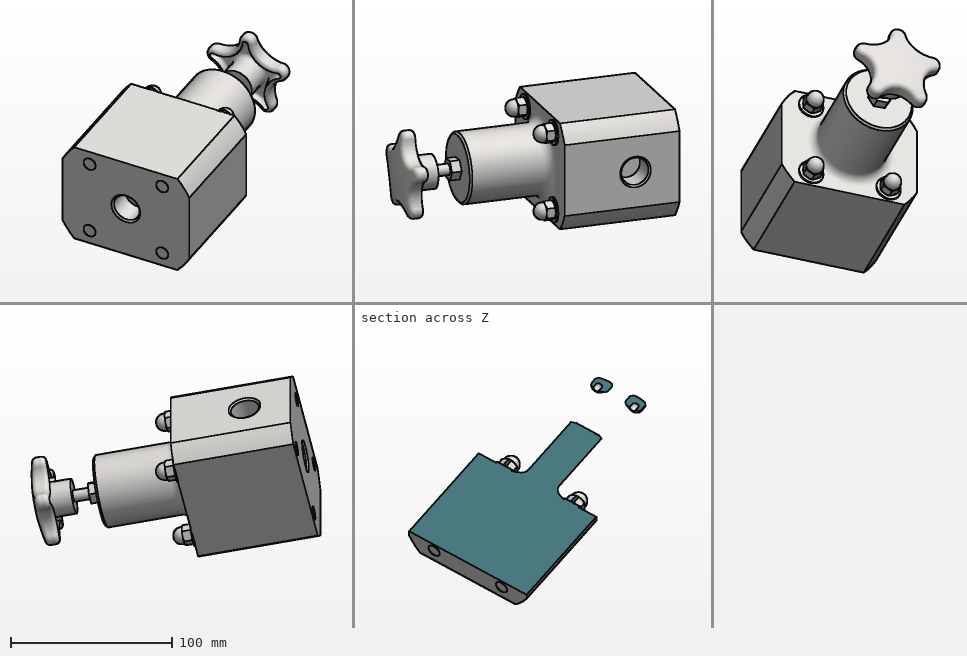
import cadquery as cq
import math


body_width = 89.0
body_height = 69.8
body_length = 76.0
body_corner_diameter = 100.5

port_diameter = 17.8
port_mouth_diameter = 20.2
port_depth = 16.3
side_port_y = 29.1

stud_spacing = 51.0
stud_half_spacing = stud_spacing / 2
stud_diameter = 8.4
stud_recess = 0.2
washer_diameter = 16.0
washer_thickness = 1.0
nut_across_flats = 11.1
nut_height = 5.8
cap_diameter = 11.0
cap_neck = 1.0
nut_chamfer_angle = 30
hex_half_sector = 30

bonnet_diameter = 45.8
bonnet_end_y = 130.3
bonnet_flare_radius = 6.3
bonnet_chamfer = 1.4

spindle_diameter = 7.4
lock_nut_across_flats = 12.5
lock_nut_height = 6.3
lock_nut_turn = 2

wheel_end_y = 171.5
wheel_thickness = 12.3
wheel_rim_y = wheel_end_y - wheel_thickness
arm_count = 5
arm_pitch = 360 / arm_count
first_arm_angle = 90
arm_circle_radius = 23.8
arm_tip_radius = 5.0
valley_radius = 18.0
crown_radius = 106.3
pocket_tip_diameter = 4.0
pocket_depth = 5.0
pocket_fillet = 1.9
rim_width = arm_tip_radius - pocket_tip_diameter / 2
hub_diameter = 22.1
hub_length = 12.2
hub_end_y = wheel_rim_y - hub_length


def across_corners(across_flats):
    return across_flats / math.cos(math.radians(hex_half_sector))


def plane_at(y):
    """XZ plane at the given Y, extruding toward +Y; its local axes are X and -Z."""
    return cq.Workplane("XZ", origin=(0, y, 0)).transformed(rotate=(180, 0, 0))


def cylinder(diameter, y_start, y_end):
    return plane_at(y_start).circle(diameter / 2).extrude(y_end - y_start)


def make_port():
    """Cutter for a blind port along +Y with a 45 degree countersunk mouth at Y = 0."""
    radius = port_diameter / 2
    mouth_radius = port_mouth_diameter / 2
    profile = [
        (0, 0),
        (mouth_radius, 0),
        (radius, mouth_radius - radius),
        (radius, port_depth),
        (0, port_depth),
    ]
    return cq.Workplane("XY").polyline(profile).close().revolve(360, (0, 0, 0), (0, 1, 0))


def make_body():
    block = plane_at(0).rect(body_width, body_height).extrude(body_length)
    body = block.intersect(cylinder(body_corner_diameter, 0, body_length))
    stud_ends = (
        plane_at(0)
        .rect(stud_spacing, stud_spacing, forConstruction=True)
        .vertices()
        .circle(stud_diameter / 2)
        .extrude(stud_recess)
    )
    front_port = make_port()
    side_port = (
        make_port()
        .rotate((0, 0, 0), (0, 0, 1), -90)
        .translate((-body_width / 2, side_port_y, 0))
    )
    return body.cut(stud_ends).cut(front_port).cut(side_port)


def make_bonnet():
    """Cylinder that flares out to the body with a concave quarter round."""
    radius = bonnet_diameter / 2
    flare_end_y = body_length + bonnet_flare_radius
    arc_offset = bonnet_flare_radius * (1 - math.sqrt(0.5))
    return (
        cq.Workplane("XY")
        .moveTo(0, body_length)
        .lineTo(radius + bonnet_flare_radius, body_length)
        .threePointArc((radius + arc_offset, body_length + arc_offset), (radius, flare_end_y))
        .lineTo(radius, bonnet_end_y - bonnet_chamfer)
        .lineTo(radius - bonnet_chamfer, bonnet_end_y)
        .lineTo(0, bonnet_end_y)
        .close()
        .revolve(360, (0, 0, 0), (0, 1, 0))
    )


def make_cap_nut():
    """Washer and domed hexagon nut standing on the body, on the Y axis."""
    nut_start_y = body_length + washer_thickness
    nut_end_y = nut_start_y + nut_height
    dome_y = nut_end_y + cap_neck
    corner_diameter = across_corners(nut_across_flats)
    corner_drop = (corner_diameter - nut_across_flats) / 2 * math.tan(math.radians(nut_chamfer_angle))

    washer = cylinder(washer_diameter, body_length, nut_start_y)
    hexagon = plane_at(nut_start_y).polygon(6, corner_diameter).extrude(nut_height)
    hexagon = hexagon.rotate((0, 0, 0), (0, 1, 0), hex_half_sector)
    corner_profile = [
        (0, nut_start_y),
        (nut_across_flats / 2, nut_start_y),
        (corner_diameter / 2, nut_start_y + corner_drop),
        (corner_diameter / 2, nut_end_y - corner_drop),
        (nut_across_flats / 2, nut_end_y),
        (0, nut_end_y),
    ]
    envelope = cq.Workplane("XY").polyline(corner_profile).close().revolve(360, (0, 0, 0), (0, 1, 0))
    neck = cylinder(cap_diameter, nut_end_y, dome_y)
    dome = cq.Workplane("XY").sphere(cap_diameter / 2).translate((0, dome_y, 0))
    return washer.union(hexagon.intersect(envelope)).union(neck).union(dome)


def make_spindle():
    corner_diameter = across_corners(lock_nut_across_flats)
    lock_nut = plane_at(bonnet_end_y).polygon(6, corner_diameter).extrude(lock_nut_height)
    lock_nut = lock_nut.rotate((0, 0, 0), (0, 1, 0), lock_nut_turn)
    return cylinder(spindle_diameter, bonnet_end_y, hub_end_y).union(lock_nut)


def polar(radius, degrees):
    """Point on the wheel plane; local Y of that plane is -Z."""
    angle = math.radians(degrees)
    return (radius * math.cos(angle), -radius * math.sin(angle))


def star(y, inset, height):
    """Five round-tipped arms joined by concave arcs tangent to the tips, moved inward by inset."""
    tip_radius = arm_tip_radius - inset
    valley = valley_radius - inset
    arm_reach = arm_circle_radius * math.cos(math.radians(arm_pitch / 2))
    valley_arc_radius = (
        (valley**2 + arm_circle_radius**2 - tip_radius**2 - 2 * valley * arm_reach)
        / (2 * (tip_radius + arm_reach - valley))
    )
    valley_centre_radius = valley + valley_arc_radius
    tangent_share = tip_radius / (tip_radius + valley_arc_radius)
    half_pitch = math.radians(arm_pitch / 2)
    tangent_along = arm_circle_radius + tangent_share * (
        valley_centre_radius * math.cos(half_pitch) - arm_circle_radius
    )
    tangent_across = tangent_share * valley_centre_radius * math.sin(half_pitch)
    side_radius = math.hypot(tangent_along, tangent_across)
    side_angle = math.degrees(math.atan2(tangent_across, tangent_along))

    outline = plane_at(y).moveTo(*polar(side_radius, first_arm_angle - side_angle))
    for index in range(arm_count):
        arm_angle = first_arm_angle + index * arm_pitch
        next_arm_angle = arm_angle + arm_pitch
        outline = outline.threePointArc(
            polar(arm_circle_radius + tip_radius, arm_angle),
            polar(side_radius, arm_angle + side_angle),
        ).threePointArc(
            polar(valley, arm_angle + arm_pitch / 2),
            polar(side_radius, next_arm_angle - side_angle),
        )
    return outline.close().extrude(height)


def make_hub():
    """Hub cylinder with a concave round where it meets the pocket floor."""
    radius = hub_diameter / 2
    floor_y = wheel_rim_y + pocket_depth
    arc_offset = rim_width * (1 - math.sqrt(0.5))
    return (
        cq.Workplane("XY")
        .moveTo(0, hub_end_y)
        .lineTo(radius, hub_end_y)
        .lineTo(radius, floor_y - rim_width)
        .threePointArc((radius + arc_offset, floor_y - arc_offset), (radius + rim_width, floor_y))
        .lineTo(0, floor_y)
        .close()
        .revolve(360, (0, 0, 0), (0, 1, 0))
    )


def make_wheel():
    crown = cq.Workplane("XY").sphere(crown_radius).translate((0, wheel_end_y - crown_radius, 0))
    blank = star(wheel_rim_y, 0, 2 * wheel_thickness)
    wheel = blank.intersect(crown)
    wheel = wheel.faces("<Y or %SPHERE").edges().fillet(rim_width)
    pocket = star(wheel_rim_y, rim_width, pocket_depth).faces(">Y").edges().fillet(pocket_fillet)
    wheel = wheel.cut(pocket)
    return wheel.union(make_hub())


result = make_body().union(make_bonnet()).union(make_spindle()).union(make_wheel())
cap_nut = make_cap_nut()
for x in (-stud_half_spacing, stud_half_spacing):
    for z in (-stud_half_spacing, stud_half_spacing):
        result = result.union(cap_nut.translate((x, 0, z)))